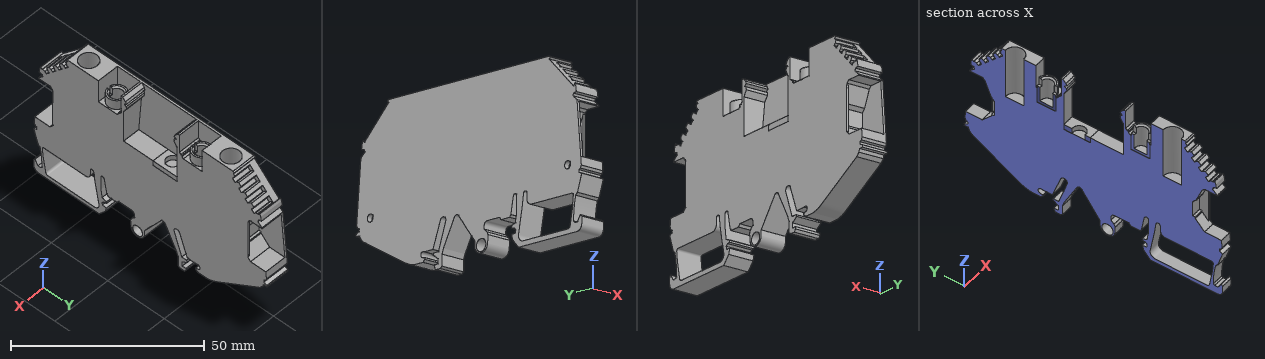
import cadquery as cq
import math

WIDTH = 7.9
LENGTH = 82.7
HEIGHT = 49.1
HALF = LENGTH / 2
WALL = 0.75
AXIS_X = 4.55

TOP_HALF = 29.35
BLOCK_INNER = 18.4
DRIVER_X = 4.3
DRIVER_Y = 25.2
DRIVER_RADIUS = 2.9
DRIVER_DEPTH = 16.5

SHOULDER_TOP = (29.4, 48.3)
SHOULDER_FOOT = (38.3, 39.4)
GRIP_START_X = 2.2
GRIP_COUNT = 4
GRIP_FIRST_Y = 30.7
GRIP_PITCH_Y = 2.2
GRIP_MOUTH_WIDTH = 2.0
GRIP_FLOOR_WIDTH = 1.3
GRIP_FLARE_DEPTH = 0.75
GRIP_DEPTH = 1.5

SHELF_Z = 20.0
LIP_UNDERSIDE_Z = 35.1
ENTRY_BACK_Y = 31.75
ENTRY_CHEEK = 0.7
ENTRY_CHEEK_Y = 34.6

SOCKET_Y = 15.05
SOCKET_RADIUS = 3.0
SOCKET_BORE_RADIUS = 2.0
SOCKET_MOUTH_RADIUS = 2.5
SOCKET_TOP_Z = 44.6
SOCKET_BOTTOM_Z = 36.4
SOCKET_FLOOR = 0.8
SLIT_WIDTH = 1.0
SLIT_DEPTH = 2.5
BAY_FLOOR_Z = 41.35
PARTITION_OUTER = 10.3

POCKET_FLOOR_Z = 33.1
POCKET_HALF = 9.4
TAPER_FOOT_X = 2.2
BAR_START_Y = 1.0
BAR_THICKNESS = 1.65
BAR_HOLE_Y = 4.8
BAR_HOLE_RADIUS = 2.1

PIN_HOLE_Y = 36.1
PIN_HOLE_Z = 18.6
PIN_HOLE_RADIUS = 1.1
PIN_HOLE_DEPTH = 1.65
FOOT_HOLE_Y = -4.5
FOOT_HOLE_Z = 3.3
FOOT_HOLE_RADIUS = 1.7
FOOT_EYE_RADIUS = 2.4
FOOT_EYE_DROP = 2.15
FOOT_CORNER_RADIUS = 1.8

OVERCUT = 1.65


def mirrored(points):
    """Reflect (y, z) points in the plane Y = 0 and reverse their order."""
    return [(-y, z) for y, z in reversed(points)]


def prism(points, start_x, end_x):
    """Closed (y, z) polygon drawn out along X."""
    return cq.Workplane("YZ", origin=(start_x, 0, 0)).polyline(points).close().extrude(end_x - start_x)


def at_both_ends(solid):
    """The solid at +Y together with its mirror image at -Y."""
    return solid.union(solid.mirror("XZ"))


def vertical_cylinder(x, y, radius, bottom_z, top_z):
    return cq.Workplane("XY", origin=(x, y, bottom_z)).circle(radius).extrude(top_z - bottom_z)


def side_profile():
    """Points of one upper side, from the flat top edge down to the flange."""
    return [
        (TOP_HALF, HEIGHT), (29.85, 48.8), SHOULDER_TOP, SHOULDER_FOOT,
        (38.8, 39.95), (39.2, 39.0), (39.4, 37.6), (38.4, 37.4), (38.1, 36.7), (39.6, 35.4),
        (41.2, 17.5), (40.85, 16.8), (40.3, 16.45), (40.3, 15.8), (HALF, 15.3),
    ]


def body_blank():
    """Full outline, including both rail feet, across the whole width."""
    side = side_profile()
    eye_left = FOOT_HOLE_Y + FOOT_EYE_RADIUS
    eye_right = FOOT_HOLE_Y - FOOT_EYE_RADIUS
    outline = cq.Workplane("YZ").polyline(side)
    for point in [(HALF, 14.6), (40.1, 14.6), (39.8, 13.7), (38.9, 12.7), (24.2, 4.5)]:
        outline = outline.lineTo(*point)
    outline = outline.threePointArc((22.25, 3.5), (20.1, 2.9))
    for point in [(16.8, 2.9), (16.1, 3.55), (16.1, 4.05), (17.1, 4.2)]:
        outline = outline.lineTo(*point)
    outline = outline.threePointArc((17.6, 5.05), (16.4, 5.6))
    outline = outline.lineTo(13.15, 5.6).lineTo(10.5, 12.7).threePointArc((9.35, 13.65), (8.4, 12.4))
    for point in [(11.2, 4.6), (12.9, 4.6), (13.15, 4.05), (11.3, 2.8), (11.3, 1.4), (12.65, 1.4), (12.65, 0.75),
                  (12.15, 0.0), (10.5, 0.0), (9.8, 0.5), (9.8, 3.7), (9.35, 5.1), (5.4, 12.6)]:
        outline = outline.lineTo(*point)
    outline = outline.threePointArc((4.5, 13.2), (3.55, 12.6))
    outline = outline.lineTo(eye_left, 5.0).lineTo(eye_left, FOOT_HOLE_Z)
    outline = outline.threePointArc((FOOT_HOLE_Y, FOOT_HOLE_Z - FOOT_EYE_DROP), (eye_right, FOOT_HOLE_Z))
    outline = outline.lineTo(-7.0, 5.6).lineTo(-6.6, 6.45).lineTo(-5.6, 7.4).lineTo(-5.6, 8.3)
    outline = outline.threePointArc((-5.9, 9.0), (-6.7, 9.4))
    for point in [(-11.25, 9.4), (-11.75, 8.7), (-15.0, 8.7), (-15.4, 9.35), (-16.3, 14.15)]:
        outline = outline.lineTo(*point)
    outline = outline.threePointArc((-16.9, 14.6), (-17.5, 14.15))
    for point in [(-17.45, 9.35), (-17.0, 6.9), (-15.55, 6.3), (-15.55, 5.6), (-16.45, 5.5), (-17.0, 5.0),
                  (-16.95, 4.1), (-15.55, 4.0), (-16.0, 2.4), (-18.1, 0.0), (FOOT_CORNER_RADIUS - HALF, 0.0)]:
        outline = outline.lineTo(*point)
    outline = outline.radiusArc((-HALF, FOOT_CORNER_RADIUS), FOOT_CORNER_RADIUS)
    for point in [(-HALF, 3.8), (-40.85, 4.3), (-39.8, 2.65), (-38.8, 2.65), (-38.4, 3.1), (-38.4, 4.1)]:
        outline = outline.lineTo(*point)
    outline = outline.threePointArc((-38.6, 7.1), (-39.1, 9.8)).lineTo(-39.8, 10.5)
    for point in mirrored(side):
        outline = outline.lineTo(*point)
    return outline.close().extrude(WIDTH)


def foot_window():
    """Opening inside the framed foot, with the slot that frees its inner leg."""
    window = cq.Workplane("YZ").moveTo(-20.0, 14.1).threePointArc((-20.7, 14.6), (-21.25, 14.1))
    window = window.lineTo(-21.25, 12.3).threePointArc((-21.75, 11.2), (-22.9, 10.7)).lineTo(-37.6, 10.7)
    window = window.threePointArc((-38.1, 10.4), (-38.2, 9.75)).lineTo(-38.0, 7.3).lineTo(-37.05, 2.2)
    window = window.threePointArc((-36.7, 1.6), (-36.1, 1.4)).lineTo(-20.0, 1.4)
    window = window.threePointArc((-18.6, 2.0), (-18.2, 3.5)).lineTo(-19.6, 11.0)
    return window.close().extrude(WIDTH)


def foot_hole():
    return cq.Workplane("YZ").center(FOOT_HOLE_Y, FOOT_HOLE_Z).circle(FOOT_HOLE_RADIUS).extrude(WIDTH)


def pin_holes():
    centres = [(PIN_HOLE_Y, PIN_HOLE_Z), (-PIN_HOLE_Y, PIN_HOLE_Z)]
    return cq.Workplane("YZ").pushPoints(centres).circle(PIN_HOLE_RADIUS).extrude(PIN_HOLE_DEPTH)


def driver_holes():
    hole = vertical_cylinder(DRIVER_X, DRIVER_Y, DRIVER_RADIUS, HEIGHT - DRIVER_DEPTH, HEIGHT)
    return at_both_ends(hole)


def grip_grooves():
    """Parallel grooves with flared mouths, sunk at right angles into each shoulder."""
    top_y, top_z = SHOULDER_TOP
    foot_y, foot_z = SHOULDER_FOOT
    fall = (top_z - foot_z) / (foot_y - top_y)
    angle = math.degrees(math.atan(fall))
    half_mouth = GRIP_MOUTH_WIDTH / 2
    half_floor = GRIP_FLOOR_WIDTH / 2
    right_side = [(half_mouth, 0), (half_floor, -GRIP_FLARE_DEPTH), (half_floor, -GRIP_DEPTH)]
    groove = prism(right_side + mirrored(right_side), GRIP_START_X, WIDTH)
    groove = groove.rotate((0, 0, 0), (1, 0, 0), -angle)
    grooves = cq.Workplane("XY")
    for index in range(GRIP_COUNT):
        y = GRIP_FIRST_Y + index * GRIP_PITCH_Y
        z = top_z - (y - top_y) * fall
        grooves = grooves.add(groove.translate((0, y, z)))
    return at_both_ends(grooves.combine())


def wire_entries():
    """Open recess above each shelf, narrowing to a funnel between two cheeks."""
    outside = HALF + OVERCUT
    funnel = prism(
        [(outside, SHELF_Z), (35.6, SHELF_Z), (32.6, 23.15), (32.6, 23.65), (ENTRY_BACK_Y, 23.65),
         (ENTRY_BACK_Y, 28.6), (32.75, 29.6), (34.7, 34.3), (35.5, LIP_UNDERSIDE_Z),
         (outside, LIP_UNDERSIDE_Z)],
        WALL, WIDTH,
    )
    cheek = cq.Workplane("XY").box(ENTRY_CHEEK, ENTRY_CHEEK_Y, HEIGHT, centered=False)
    return at_both_ends(funnel.cut(cheek.translate((WIDTH - ENTRY_CHEEK, 0, 0))))


def socket_bays():
    """Bays between the blocks and the partitions, with a stepped ramp at the partition foot."""
    bay = prism(
        [(BLOCK_INNER, HEIGHT), (BLOCK_INNER, BAY_FLOOR_Z), (11.75, BAY_FLOOR_Z), (11.25, 41.85), (11.25, 42.35),
         (10.8, 42.35), (PARTITION_OUTER, 42.8), (PARTITION_OUTER, HEIGHT)],
        WALL, WIDTH,
    )
    seat = vertical_cylinder(AXIS_X, SOCKET_Y, SOCKET_RADIUS, SOCKET_BOTTOM_Z, BAY_FLOOR_Z)
    return at_both_ends(bay.union(seat))


def centre_pocket():
    """Pocket between the partitions: grooved lips above, one tapered wall below."""
    side = [
        (9.75, HEIGHT), (8.8, 48.1), (8.4, 47.4), (9.2, 46.8), (8.5, 46.5), (8.4, 45.65),
        (POCKET_HALF, 44.0), (POCKET_HALF, POCKET_FLOOR_Z),
    ]
    pocket = prism(side + mirrored(side), WALL, WIDTH)
    taper = (
        cq.Workplane("XZ", origin=(0, HALF, 0))
        .polyline([(WALL, POCKET_FLOOR_Z), (TAPER_FOOT_X, POCKET_FLOOR_Z), (WALL, HEIGHT)])
        .close()
        .extrude(LENGTH)
    )
    return pocket.cut(taper)


def bar_blank():
    """Envelope of the contact bar, which is also its recess in the pocket floor."""
    size_y = POCKET_HALF - BAR_START_Y
    blank = cq.Workplane("XY").box(WIDTH - TAPER_FOOT_X, size_y, BAR_THICKNESS, centered=False)
    return blank.translate((TAPER_FOOT_X, BAR_START_Y, POCKET_FLOOR_Z - BAR_THICKNESS))


def make_housing():
    housing = body_blank()
    cutters = [
        foot_window(), foot_hole(), pin_holes(), driver_holes(), grip_grooves(),
        wire_entries(), socket_bays(), centre_pocket(), bar_blank(),
    ]
    for cutter in cutters:
        housing = housing.cut(cutter)
    return housing


def make_contact_bar():
    bottom_z = POCKET_FLOOR_Z - BAR_THICKNESS
    hole = vertical_cylinder(AXIS_X, BAR_HOLE_Y, BAR_HOLE_RADIUS, bottom_z, POCKET_FLOOR_Z)
    return bar_blank().cut(hole)


def make_socket(y):
    """Sleeve with a closed bottom, a flared mouth and a slit across its rim along Y."""
    flare = SOCKET_MOUTH_RADIUS - SOCKET_BORE_RADIUS
    socket = vertical_cylinder(AXIS_X, y, SOCKET_RADIUS, SOCKET_BOTTOM_Z, SOCKET_TOP_Z)
    bore_bottom_z = SOCKET_BOTTOM_Z + SOCKET_FLOOR
    socket = socket.cut(vertical_cylinder(AXIS_X, y, SOCKET_BORE_RADIUS, bore_bottom_z, SOCKET_TOP_Z))
    socket = socket.faces(">Z").edges(cq.selectors.RadiusNthSelector(0)).chamfer(flare)
    slit = cq.Workplane("XY").box(SLIT_WIDTH, 2 * SOCKET_RADIUS, 2 * SLIT_DEPTH)
    return socket.cut(slit.translate((AXIS_X, y, SOCKET_TOP_Z)))


housing = make_housing()
contact_bar = make_contact_bar()
sockets = [make_socket(y) for y in (SOCKET_Y, -SOCKET_Y)]

result = cq.Compound.makeCompound([housing.val(), contact_bar.val(), *[socket.val() for socket in sockets]])